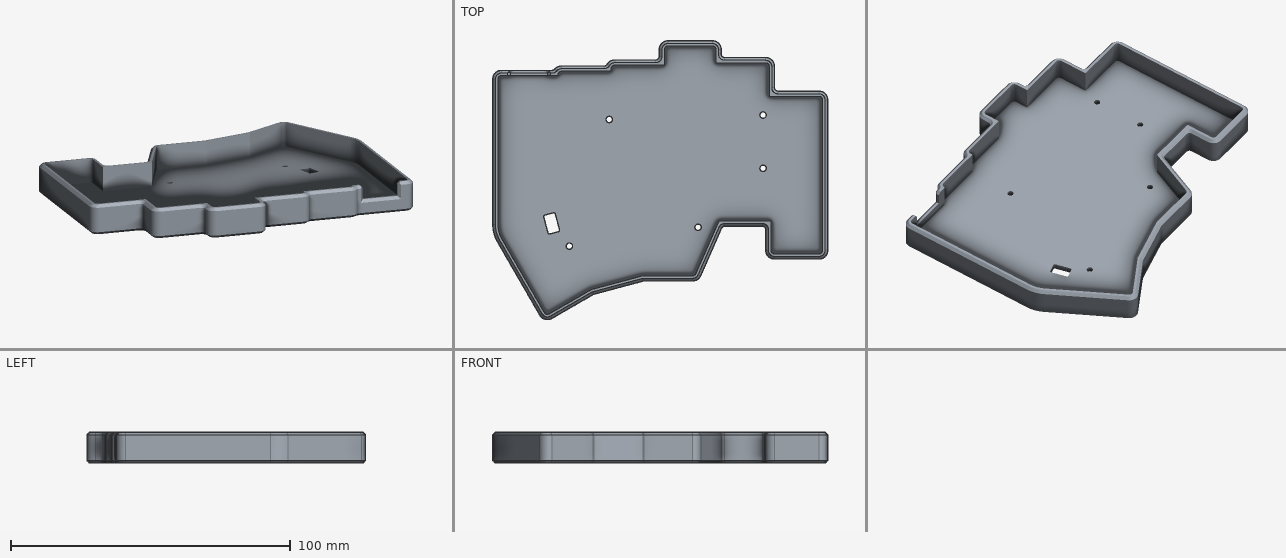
import cadquery as cq
import math

total_height = 11.1
floor_thickness = 2.2
wall_thickness = 1.9
rim_chamfer = 1.0

pocket_corner_radius = 1.3
pocket_bend_radius = 10.6
outer_inside_corner_radius = 1.2

key_pitch = 19.05
key_width = 18.45
pocket_width = 116.07
column_4_right = pocket_width - key_pitch
column_3_right = column_4_right - key_pitch
column_3_left = column_3_right - key_width
column_2_left = column_3_left - key_pitch
column_1_left = column_2_left - key_pitch
last_column_left = pocket_width - key_width

column_0_top = 85.85
column_1_top = 87.4
column_2_top = 89.57
column_3_top = 96.43
column_4_top = 90.43
last_column_top = 78.43
last_column_bottom = 22.1

tip_x = 17.23
tip_side_angle = 60
outer_thumb_angle = 30
inner_thumb_angle = 15
outer_thumb_length = 18.67
inner_thumb_length = 19.05
thumb_shelf_right = 70.45
recess_left = 79.05
recess_top = 33.85

screw_hole_diameter = 2.2
right_screw_x = 94.8
upper_right_screw_y = 71.73
screw_positions = [
    (39.8, 70.15),
    (right_screw_x, upper_right_screw_y),
    (right_screw_x, upper_right_screw_y - key_pitch),
    (71.55, 31.6),
    (25.55, 24.85),
]

window_center = (19.2, 33.0)
window_width = 4.2
window_length = 6.9
window_angle = 15
window_corner_radius = 0.5

notch_left = 4.5
notch_width = 13.3
notch_bottom = 5.8


def step_from(point, length, angle):
    """Point reached from another by a length at an angle to the X axis."""
    turn = math.radians(angle)
    return (point[0] + length * math.cos(turn), point[1] + length * math.sin(turn))


tip = (tip_x, 0)
bend = (0, tip_x * math.tan(math.radians(tip_side_angle)))
thumb_joint = step_from(tip, outer_thumb_length, outer_thumb_angle)
thumb_shelf_left = step_from(thumb_joint, inner_thumb_length, inner_thumb_angle)
thumb_shelf_right_end = (thumb_shelf_right, thumb_shelf_left[1])

pocket_outline = [
    tip,
    thumb_joint,
    thumb_shelf_left,
    thumb_shelf_right_end,
    (recess_left, recess_top),
    (last_column_left, recess_top),
    (last_column_left, last_column_bottom),
    (pocket_width, last_column_bottom),
    (pocket_width, last_column_top),
    (column_4_right, last_column_top),
    (column_4_right, column_4_top),
    (column_3_right, column_4_top),
    (column_3_right, column_3_top),
    (column_3_left, column_3_top),
    (column_3_left, column_2_top),
    (column_2_left, column_2_top),
    (column_2_left, column_1_top),
    (column_1_left, column_1_top),
    (column_1_left, column_0_top),
    (0, column_0_top),
    bend,
]


def bulging_corners(outline):
    """Corners of a counterclockwise outline where it turns left, bulging outward."""
    previous_points = outline[-1:] + outline[:-1]
    next_points = outline[1:] + outline[:1]
    corners = []
    for before, corner, after in zip(previous_points, outline, next_points):
        arriving = (corner[0] - before[0], corner[1] - before[1])
        leaving = (after[0] - corner[0], after[1] - corner[1])
        if arriving[0] * leaving[1] > arriving[1] * leaving[0]:
            corners.append(corner)
    return corners


def upright_edges_at(body, points):
    """Vertical edges of a body that stand on the given XY points."""
    tolerance = 0.01

    def stands_on_point(edge):
        center = edge.Center()
        return any(math.hypot(center.x - x, center.y - y) < tolerance for x, y in points)

    return body.newObject([e for e in body.edges("|Z").vals() if stands_on_point(e)])


def make_pocket():
    """Rounded pocket volume, standing on Z = 0."""
    pocket = cq.Workplane("XY").polyline(pocket_outline).close().extrude(total_height)
    tight_corners = [corner for corner in bulging_corners(pocket_outline) if corner != bend]
    pocket = upright_edges_at(pocket, tight_corners).fillet(pocket_corner_radius)
    return upright_edges_at(pocket, [bend]).fillet(pocket_bend_radius)


def make_block(pocket):
    """Solid outer body; growing past the wall and shrinking back rounds its inside corners."""
    pocket_wire = pocket.faces("<Z").wires().val()
    grown_wire = pocket_wire.offset2D(wall_thickness + outer_inside_corner_radius, "arc")[0]
    outer_wire = grown_wire.offset2D(-outer_inside_corner_radius, "arc")[0]
    return cq.Workplane("XY").add(outer_wire).toPending().extrude(total_height)


def make_notch():
    """Notch volume through the rear wall, with a flared top and a flared outer mouth."""
    wall_face_y = column_0_top + wall_thickness
    center_x = notch_left + notch_width / 2
    flared_width = notch_width + 2 * rim_chamfer

    slot_depth = 2 * wall_thickness
    slot_height = total_height - notch_bottom
    slot = cq.Workplane("XY").box(notch_width, slot_depth, slot_height, centered=(True, True, False))
    slot = slot.translate((center_x, column_0_top + wall_thickness / 2, notch_bottom))

    mouth = (
        cq.Workplane("XZ", origin=(center_x, wall_face_y, notch_bottom + notch_width / 2))
        .rect(flared_width, flared_width)
        .workplane(offset=rim_chamfer)
        .rect(notch_width, notch_width)
        .loft()
    )

    top_flare = (
        cq.Workplane("XZ", origin=(center_x, wall_face_y, total_height))
        .moveTo(-notch_width / 2, -rim_chamfer)
        .lineTo(notch_width / 2, -rim_chamfer)
        .lineTo(flared_width / 2, 0)
        .lineTo(-flared_width / 2, 0)
        .close()
        .extrude(wall_thickness)
    )
    return slot.union(mouth).union(top_flare)


def make_screw_holes():
    """Screw shanks passing through the floor."""
    centers = cq.Workplane("XY").pushPoints(screw_positions)
    return centers.circle(screw_hole_diameter / 2).extrude(floor_thickness)


def make_window():
    """Tilted rounded window passing through the floor."""
    window = cq.Workplane("XY").rect(window_width, window_length).extrude(floor_thickness)
    window = window.edges("|Z").fillet(window_corner_radius)
    return window.rotate((0, 0, 0), (0, 0, 1), window_angle).translate(window_center)


pocket = make_pocket()
block = make_block(pocket).faces("<Z or >Z").chamfer(rim_chamfer)
case = block.cut(pocket.translate((0, 0, floor_thickness)))
result = case.cut(make_notch()).cut(make_screw_holes()).cut(make_window())